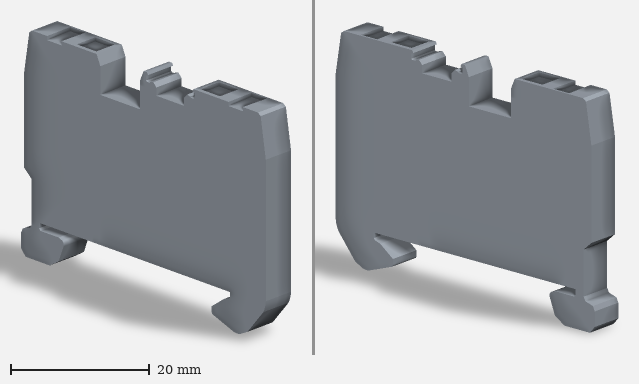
import cadquery as cq

length = 49.4
thickness = 5.2
height = 35.4

body_left = 0.65
body_center = (body_left + length) / 2
shoulder_z = 28.55
taper_run = 1.05
corner_run = 0.55
corner_drop = 0.4
taper_x = body_left + taper_run
top_corner_x = taper_x + corner_run

notch_left = 16.0
notch_right = 24.0
notch_floor_z = 29.3
notch_lead_run = 0.75
notch_lead_z = 33.75

seat_left = 27.3
seat_right = 32.9
seat_center = (seat_left + seat_right) / 2
seat_half_width = (seat_right - seat_left) / 2
seat_floor_z = 32.3
seat_chamfer_z = 33.6
ridge_offset = 3.4
ridge_z = 34.25
groove_ridge_offset = 4.05
groove_offset = 4.65
groove_wall_offset = 4.9
groove_z = 33.95
groove_wall_z = 34.1
hook_under_z = 34.9
hook_tip_offset = 4.5
hook_tip_z = 35.0
hook_top_offset = 4.7

rail_z = 6.05
rail_left = 3.65
rail_right = 42.15
rail_corner_z = 5.2

heel_top_z = 6.6
heel_arc_middle = (49.25, 5.7)
heel_arc_end = (48.9, 4.8)
heel_bevel_top = (45.9, 1.1)
heel_bevel_bottom = (45.6, 0.8)
sole_arc_start = (44.25, 0.125)
sole_arc_x = 43.55
sole_arc_end = (42.9, 0.1)
tip_arc_start = (38.85, 1.55)
tip_arc_middle = (38.6, 1.7)
tip_x = 38.5
tip_bottom_z = 1.95
tip_top_z = 2.8
tip_slope_top = (40.9, 4.6)
rail_corner_start = (41.9, 4.9)

gap_corner_run = 0.3
gap_floor_z = 4.85
toe_arc_start = (8.25, 4.6)
toe_arc_middle = (8.6, 4.2)
toe_arc_end = (8.6, 3.75)
toe_bottom_x = 7.6
toe_bottom_z = 1.15
block_bottom_right = 5.8
block_bottom_left = 0.95
block_chamfer_z = 1.1
block_side_top_z = 3.45
block_slope_start = (0.35, 4.2)
block_slope_end = (1.8, 4.6)
neck_left = 2.1
neck_bottom_z = 5.25
step_top_z = 13.75
step_bottom_z = 12.4

recess_depth = 0.65
window_left = 10.55
window_width = 3.95
window_front = 0.7
window_depth_y = 3.8
slot_front_left = 5.3
slot_front_right = 8.15
slot_flare = 0.125
slot_end_y = 4.85


def mirrored_x(x):
    """Reflect an X position across the body center."""
    return 2 * body_center - x


def hook_points(side):
    """Seat wall and hook from the floor upward; side is -1 for left, 1 for right."""
    offsets = [
        (seat_half_width, seat_floor_z),
        (seat_half_width, seat_chamfer_z),
        (ridge_offset, ridge_z),
        (groove_ridge_offset, groove_wall_z),
        (groove_ridge_offset, groove_z),
        (groove_offset, groove_z),
        (groove_wall_offset, groove_wall_z),
        (groove_wall_offset, hook_under_z),
        (hook_tip_offset, hook_tip_z),
        (hook_top_offset, height),
    ]
    return [(seat_center + side * offset, z) for offset, z in offsets]


def make_body():
    """Extruded outline, traced clockwise from the left shoulder."""
    top_edge = [
        (taper_x, height - corner_drop),
        (top_corner_x, height),
        (notch_left - notch_lead_run, height),
        (notch_left, notch_lead_z),
        (notch_left, notch_floor_z),
        (notch_right, notch_floor_z),
        (notch_right, notch_lead_z),
        (notch_right + notch_lead_run, height),
        *reversed(hook_points(-1)),
        *hook_points(1),
        (mirrored_x(top_corner_x), height),
        (mirrored_x(taper_x), height - corner_drop),
        (length, shoulder_z),
        (length, heel_top_z),
    ]
    outline = cq.Workplane("XZ").moveTo(body_left, shoulder_z)
    for point in top_edge:
        outline = outline.lineTo(*point)

    outline = (
        outline
        .threePointArc(heel_arc_middle, heel_arc_end)
        .lineTo(*heel_bevel_top)
        .lineTo(*heel_bevel_bottom)
        .lineTo(*sole_arc_start)
        .threePointArc((sole_arc_x, 0), sole_arc_end)
        .lineTo(*tip_arc_start)
        .threePointArc(tip_arc_middle, (tip_x, tip_bottom_z))
        .lineTo(tip_x, tip_top_z)
        .lineTo(*tip_slope_top)
        .lineTo(*rail_corner_start)
        .lineTo(rail_right, rail_corner_z)
        .lineTo(rail_right, rail_z)
    )

    outline = (
        outline
        .lineTo(rail_left, rail_z)
        .lineTo(rail_left, rail_corner_z)
        .lineTo(rail_left + gap_corner_run, gap_floor_z)
        .lineTo(toe_bottom_x, gap_floor_z)
        .lineTo(*toe_arc_start)
        .threePointArc(toe_arc_middle, toe_arc_end)
        .lineTo(toe_bottom_x, toe_bottom_z)
        .lineTo(block_bottom_right, 0)
        .lineTo(block_bottom_left, 0)
        .lineTo(0, block_chamfer_z)
        .lineTo(0, block_side_top_z)
        .lineTo(*block_slope_start)
        .lineTo(*block_slope_end)
        .lineTo(neck_left, neck_bottom_z)
        .lineTo(neck_left, step_bottom_z)
        .lineTo(body_left, step_top_z)
        .close()
    )
    return outline.extrude(-thickness)


def make_window():
    """Rectangular recess closed on all sides."""
    return cq.Workplane("XY").box(window_width, window_depth_y, recess_depth, centered=False).translate(
        (window_left, window_front, height - recess_depth)
    )


def make_slot():
    """Recess open at the front face and slightly wider at its closed end."""
    return (
        cq.Workplane("XY")
        .workplane(offset=height - recess_depth)
        .polyline([
            (slot_front_left, 0),
            (slot_front_right, 0),
            (slot_front_right + slot_flare, slot_end_y),
            (slot_front_left - slot_flare, slot_end_y),
        ])
        .close()
        .extrude(recess_depth)
    )


result = make_body()
for recess in (make_window(), make_slot()):
    result = result.cut(recess)
    result = result.cut(recess.mirror("YZ", (body_center, 0, 0)))